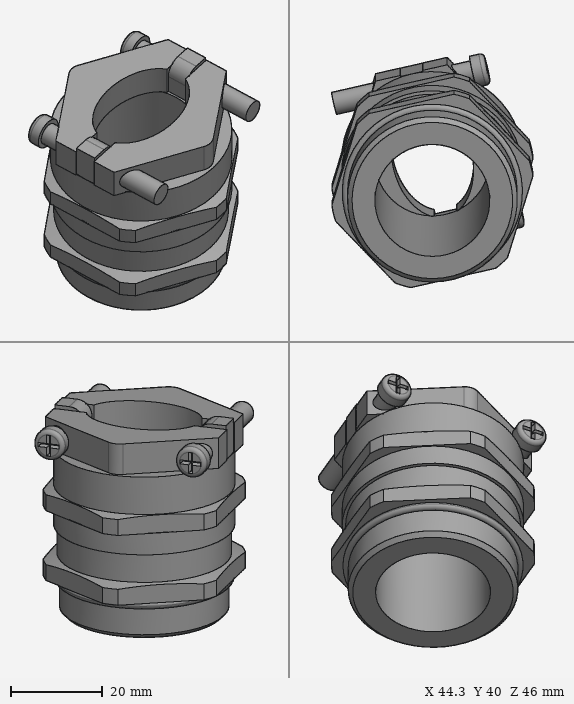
import cadquery as cq
import math

ring_bottom = 7.15
lower_hex_bottom = 8.92
narrow_sleeve_top = 20.0
upper_hex_bottom = 25.1
hex_corner_height = 3.7
clamp_bottom = 38.05
clamp_height = 7.1
overall_height = 46.0

barrel_radius = 18.5
barrel_chamfer = 1.0
narrow_sleeve_radius = 19.05
ring_centre_radius = 18.7
collar_radius = 19.8
bore_radius = 12.5

across_flats = 40.0
across_corners = 44.3
hex_corner_radius = across_corners / 2
hex_cone_angle = 13.8
hex_half_corner_angle = math.radians(30)

clamp_flat_half_length = 8.0
clamp_corner_fillet = 3.3
opening_half_width = 8.7
opening_half_length = 13.05

bridge_width = 5.0
bridge_inner = 12.95
bridge_round = 3.45

screw_offset = 16.38
screw_height = 41.65
shank_radius = 2.5
head_radius = 3.5
head_start = -16.1
head_length = 3.17
head_round = 1.0
screw_end = 18.12
recess_length = 4.85
recess_width = 0.9
recess_depth = 0.9
recess_draft = 0.35


def disc(bottom, top, radius):
    return cq.Workplane("XY").workplane(offset=bottom).circle(radius).extrude(top - bottom)


def hexagon(bottom, inner_radius):
    """Hexagon with turned corners and a conical top rising to inner_radius."""
    circumscribed_diameter = across_flats / math.cos(hex_half_corner_angle)
    cone_rise = (hex_corner_radius - inner_radius) * math.tan(math.radians(hex_cone_angle))
    prism = (
        cq.Workplane("XY")
        .workplane(offset=bottom)
        .polygon(6, circumscribed_diameter)
        .extrude(hex_corner_height + cone_rise)
    )
    turned_envelope = (
        cq.Workplane("XZ")
        .moveTo(0, bottom)
        .lineTo(hex_corner_radius, bottom)
        .lineTo(hex_corner_radius, bottom + hex_corner_height)
        .lineTo(inner_radius, bottom + hex_corner_height + cone_rise)
        .lineTo(0, bottom + hex_corner_height + cone_rise)
        .close()
        .revolve(360, (0, 0, 0), (0, 1, 0))
    )
    return prism.intersect(turned_envelope)


def sealing_ring():
    tube_radius = (lower_hex_bottom - ring_bottom) / 2
    centre = cq.Vector(0, 0, ring_bottom + tube_radius)
    return cq.Workplane("XY").add(cq.Solid.makeTorus(ring_centre_radius, tube_radius, centre))


def body():
    """Stepped barrel with both hexagons and the sealing ring, bored through."""
    barrel = disc(0, narrow_sleeve_top, barrel_radius).faces("<Z").chamfer(barrel_chamfer)
    return (
        barrel.union(disc(lower_hex_bottom, narrow_sleeve_top, narrow_sleeve_radius))
        .union(disc(narrow_sleeve_top, clamp_bottom, collar_radius))
        .union(sealing_ring())
        .union(hexagon(lower_hex_bottom, narrow_sleeve_radius))
        .union(hexagon(upper_hex_bottom, collar_radius))
        .cut(disc(0, clamp_bottom, bore_radius))
    )


def clamp():
    """Hexagonal clamp with an oval opening, split by a gap along Y."""
    half_depth = across_flats / 2
    point_x = clamp_flat_half_length + half_depth * math.tan(hex_half_corner_angle)
    outline = [
        (clamp_flat_half_length, half_depth),
        (point_x, 0),
        (clamp_flat_half_length, -half_depth),
        (-clamp_flat_half_length, -half_depth),
        (-point_x, 0),
        (-clamp_flat_half_length, half_depth),
    ]
    base = cq.Workplane("XY").workplane(offset=clamp_bottom)
    block = base.polyline(outline).close().extrude(clamp_height)
    block = block.edges("|Z and (>X or <X)").fillet(clamp_corner_fillet)
    opening = base.ellipse(opening_half_width, opening_half_length).extrude(clamp_height)
    gap = base.rect(bridge_width, across_flats).extrude(clamp_height)
    return block.cut(opening).cut(gap)


def bridge():
    """Upright block on the +Y side with its inner top edge rounded."""
    return (
        cq.Workplane("YZ")
        .moveTo(bridge_inner, clamp_bottom)
        .lineTo(collar_radius, clamp_bottom)
        .lineTo(collar_radius, overall_height)
        .lineTo(bridge_inner + bridge_round, overall_height)
        .radiusArc((bridge_inner, overall_height - bridge_round), -bridge_round)
        .close()
        .extrude(bridge_width / 2, both=True)
    )


def recess_slot(size_y, size_z):
    """Tapered slot sunk into the screw head along +X."""
    return (
        cq.Workplane("YZ", origin=(head_start, 0, 0))
        .rect(size_y, size_z)
        .workplane(offset=recess_depth)
        .rect(size_y - 2 * recess_draft, size_z - 2 * recess_draft)
        .loft()
    )


def screw():
    """Cross-recessed screw along X, centred on the X axis."""
    head = cq.Workplane("YZ", origin=(head_start, 0, 0)).circle(head_radius).extrude(head_length)
    head = head.faces("<X").edges().fillet(head_round)
    head = head.cut(recess_slot(recess_length, recess_width))
    head = head.cut(recess_slot(recess_width, recess_length))
    shank_start = head_start + head_length
    shank = (
        cq.Workplane("YZ", origin=(shank_start, 0, 0)).circle(shank_radius).extrude(screw_end - shank_start)
    )
    return head.union(shank)


result = body().union(clamp())
result = result.union(bridge()).union(bridge().mirror("XZ"))
for side in (-1, 1):
    result = result.union(screw().translate((0, side * screw_offset, screw_height)))